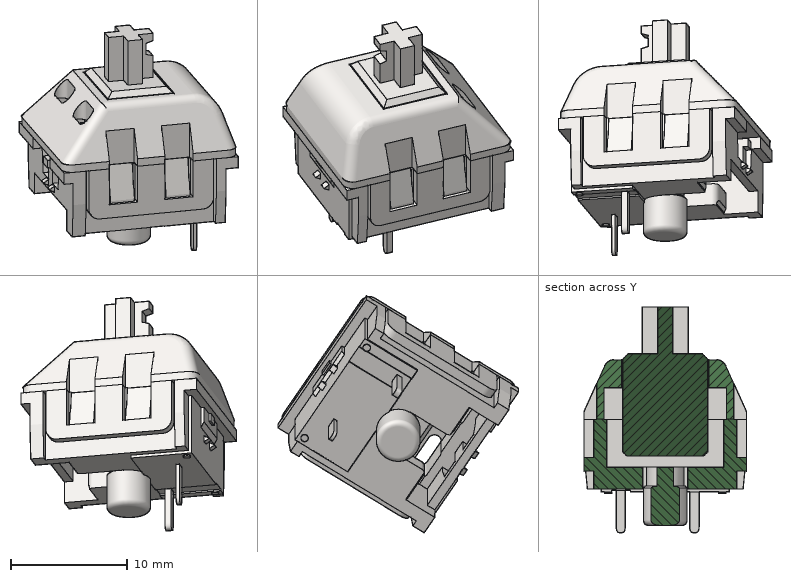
import cadquery as cq
import math


case_half_x = 7.0
case_half_y = 7.8

skirt_top = 0.68
lid_top = 5.15
roof_half_x = 4.98
roof_front_y = -3.73
roof_back_y = 6.42
roof_back_radius = 2.55
lid_edge_radius = 0.93
skirt_corner_radius = 0.97
lid_bore_half_x = 3.75
lid_bore_half_y = 3.0
lid_cavity_half_x = 5.25
lid_cavity_half_y = 5.4
lid_cavity_height = 2.72
slot_center_x = 2.88
slot_center_y = -4.9
slot_length = 3.23
slot_width = 1.17

window_center_y = 2.49
window_width = 2.53
window_back_x = 5.91
window_top = 3.11
window_bottom = -3.27

wedge_width = 2.14
wedge_top_x = 5.97
wedge_foot_x = 6.7
wedge_foot_top = -3.1

flange_height = 1.01
base_bottom = -6.0
base_front_y = -7.0
base_back_y = 6.71
taper_top = -3.01
taper_bottom_half_x = 6.71
side_recess_half_y = 5.84
side_recess_x = 6.17
panel_half_y = 5.58
panel_bottom = -4.47
panel_corner_radius = 0.97
floor_top = -4.1
cavity_half_x = 5.02
cavity_front_y = -6.22
cavity_back_y = 5.84
floor_front_y = -4.18
floor_edge_setback = 0.15
floor_edge_top = -5.48
floor_edge_bottom = -5.85

post_radius = 1.89
post_neck_radius = 1.6
post_shoulder = -5.74
post_shoulder_chamfer = 0.15
post_bottom = -9.15
post_edge_radius = 0.47
bay_half_x = 1.93
bay_back_y = 0.0
bay_edge_radius = 0.53

opening_top_half_x = 2.63
opening_bottom_half_x = 2.3
opening_bottom = -3.15
tab_half_x = 0.6
tab_top = -1.01
hook_bottom = -1.71
hook_reach = 0.45
barb_outer_x = 1.23
barb_top = -3.2
barb_bottom = -3.77
barb_reach = 0.47

pad_half_x = 5.52
pad_back_y = 7.0
pad_front_y = 1.6
pad_bottom = -6.25
pad_notch_center_x = -3.81
pad_notch_width = 1.61
pad_notch_depth = 0.14
foot_x = 4.92
foot_y = 6.42
foot_diameter = 0.65
foot_height = 0.12
back_rib_thickness = 0.27
back_rib_straight_bottom = -2.33
back_rib_bottom = -2.82

stem_top = 9.69
cross_half_length = 1.98
cross_half_width = 0.66
collar_top = 5.66
collar_half_x = 3.68
collar_half_y = 2.92
collar_chamfer = 0.49
stem_bottom = -3.15
stem_bottom_chamfer = 0.37
notch_floor_y = 1.36
notch_outer_top = 9.0
notch_inner_top = 8.81
notch_inner_bottom = 7.82
notch_outer_bottom = 7.65

pin_sizes = [
    (-3.83, 2.6, 0.8, 0.55),
    (2.5, 5.1, 0.84, 0.31),
]
pin_root = -4.86
pin_bottom = -9.76
pin_tip_length = 0.56

overrun = 0.2

tolerance = 0.02


def block(x0, x1, y0, y1, z0, z1):
    """Box between two opposite corners."""
    return cq.Workplane("XY").box(x1 - x0, y1 - y0, z1 - z0, centered=False).translate((x0, y0, z0))


def along_x(points, half_length):
    """Closed (y, z) outline extruded equally to both sides of X = 0."""
    return cq.Workplane("YZ").polyline(points).close().extrude(half_length, both=True)


def prism_x(points, x0, x1):
    """Closed (y, z) outline extruded from x0 to x1."""
    return cq.Workplane("YZ", origin=(x0, 0, 0)).polyline(points).close().extrude(x1 - x0)


def prism_y(points, y0, y1):
    """Closed (x, z) outline extruded from y0 to y1."""
    return cq.Workplane("XZ", origin=(0, y0, 0)).polyline(points).close().extrude(y0 - y1)


def lid_shell():
    """Sloped hood with a broad round at the top of its back and smaller rounds along its sides."""
    run = roof_back_y - case_half_y
    rise = lid_top - skirt_top
    slope_length = math.hypot(run, rise)
    turn = math.pi / 2 - math.atan2(-run, rise)
    tangent = roof_back_radius * math.tan(turn / 2)
    bend_low = (
        roof_back_y - tangent * run / slope_length,
        lid_top - tangent * rise / slope_length,
    )
    bend_high = (roof_back_y - tangent, lid_top)
    center_z = lid_top - roof_back_radius
    bend_mid = (
        bend_high[0] + roof_back_radius * math.sin(turn / 2),
        center_z + roof_back_radius * math.cos(turn / 2),
    )
    side_profile = (
        cq.Workplane("YZ")
        .moveTo(-case_half_y, skirt_top)
        .lineTo(case_half_y, skirt_top)
        .lineTo(*bend_low)
        .threePointArc(bend_mid, bend_high)
        .lineTo(roof_front_y, lid_top)
        .close()
        .extrude(case_half_x, both=True)
    )
    front_outline = [
        (-case_half_x, skirt_top),
        (case_half_x, skirt_top),
        (roof_half_x, lid_top),
        (-roof_half_x, lid_top),
    ]
    hood = side_profile.intersect(prism_y(front_outline, -case_half_y, case_half_y))
    rounded_edges = [edge for edge in hood.edges().vals() if is_rounded(edge)]
    hood = hood.newObject(rounded_edges).fillet(lid_edge_radius)
    skirt = block(-case_half_x, case_half_x, -case_half_y, case_half_y, 0, skirt_top)
    skirt = skirt.edges("|Z").fillet(skirt_corner_radius)
    return hood.union(skirt)


def is_rounded(edge):
    """True for the edges up the four corners of the lid and along both sides of its roof."""
    center = edge.Center()
    on_side = abs(center.x) > roof_half_x - tolerance
    skirt_line = abs(center.z - skirt_top) < tolerance
    return on_side and not skirt_line


def lid_slots():
    """Two round-ended slots straight down through the front slope."""
    return (
        cq.Workplane("XY")
        .pushPoints([(-slot_center_x, slot_center_y), (slot_center_x, slot_center_y)])
        .slot2D(slot_length, slot_width)
        .extrude(lid_top)
    )


def side_windows(back_x, width, bottom, top):
    """Four pockets reaching in from the side faces to back_x, between two heights."""
    windows = cq.Workplane("XY")
    outer_x = case_half_x + overrun
    for side_x in (-1, 1):
        for side_y in (-1, 1):
            windows = windows.add(
                cq.Workplane("XY", origin=(side_x * (back_x + outer_x) / 2, side_y * window_center_y, bottom))
                .rect(outer_x - back_x, width)
                .extrude(top - bottom)
            )
    return windows.combine()


def build_lid():
    cavity = block(
        -lid_cavity_half_x, lid_cavity_half_x, -lid_cavity_half_y, lid_cavity_half_y, 0, lid_cavity_height
    )
    bore = block(-lid_bore_half_x, lid_bore_half_x, -lid_bore_half_y, lid_bore_half_y, 0, lid_top)
    windows = side_windows(window_back_x, window_width, 0, window_top)
    return lid_shell().cut(cavity).cut(bore).cut(lid_slots()).cut(windows)


def base_body():
    """Walls whose lower sides taper inward, under a wider flange that meets the lid."""
    outline = [
        (-case_half_x, 0),
        (case_half_x, 0),
        (case_half_x, taper_top),
        (taper_bottom_half_x, base_bottom),
        (-taper_bottom_half_x, base_bottom),
        (-case_half_x, taper_top),
    ]
    walls = prism_y(outline, base_front_y, base_back_y)
    flange = block(-case_half_x, case_half_x, -case_half_y, case_half_y, -flange_height, 0)
    return walls.union(flange)


def side_recesses():
    """Full-height recesses in the middle of both sides, leaving legs at the corners."""
    outer = case_half_x + overrun
    right = block(side_recess_x, outer, -side_recess_half_y, side_recess_half_y, base_bottom, 0)
    return right.union(right.mirror("YZ"))


def side_panels():
    """Raised panels inside the side recesses, rounded at their lower corners."""
    right = block(side_recess_x, case_half_x, -panel_half_y, panel_half_y, panel_bottom, 0)
    right = right.edges("|X and <Z").fillet(panel_corner_radius)
    return right.union(right.mirror("YZ"))


def clip_wedges():
    """Sloped catches standing in the four side windows."""
    outline = [
        (wedge_top_x, 0),
        (wedge_foot_x, wedge_foot_top),
        (wedge_foot_x, window_bottom),
        (wedge_top_x, window_bottom),
    ]
    wedges = cq.Workplane("XY")
    for side_y in (-1, 1):
        start_y = side_y * window_center_y - wedge_width / 2
        right = prism_y(outline, start_y, start_y + wedge_width)
        wedges = wedges.add(right).add(right.mirror("YZ"))
    return wedges.combine()


def rear_pads():
    """Thin pads behind and under the base, with two feet and a notch for the front pin."""
    rear = block(-pad_half_x, pad_half_x, base_back_y, pad_back_y, pad_bottom, -flange_height)
    under = block(-pad_half_x, pad_half_x, pad_front_y, pad_back_y, pad_bottom, base_bottom)
    notch_start = pad_notch_center_x - pad_notch_width / 2
    notch = block(
        notch_start,
        notch_start + pad_notch_width,
        pad_front_y,
        pad_back_y,
        pad_bottom,
        pad_bottom + pad_notch_depth,
    )
    feet = (
        cq.Workplane("XY", origin=(0, 0, pad_bottom))
        .pushPoints([(-foot_x, foot_y), (foot_x, foot_y)])
        .circle(foot_diameter / 2)
        .extrude(-foot_height)
    )
    return rear.union(under).cut(notch).union(feet)


def floor_bay():
    """Bay in the front of the floor around the post, with its front corners rounded over."""
    mouth_half_x = bay_half_x + bay_edge_radius
    arc_offset = bay_edge_radius * (1 - math.sqrt(0.5))
    return (
        cq.Workplane("XY", origin=(0, 0, base_bottom))
        .moveTo(-mouth_half_x, floor_front_y)
        .threePointArc(
            (-bay_half_x - arc_offset, floor_front_y + arc_offset),
            (-bay_half_x, floor_front_y + bay_edge_radius),
        )
        .lineTo(-bay_half_x, bay_back_y)
        .lineTo(bay_half_x, bay_back_y)
        .lineTo(bay_half_x, floor_front_y + bay_edge_radius)
        .threePointArc(
            (bay_half_x + arc_offset, floor_front_y + arc_offset),
            (mouth_half_x, floor_front_y),
        )
        .close()
        .extrude(floor_top - base_bottom)
    )


def base_cavity():
    """Room inside the walls: open to the bottom ahead of the floor, and under the front wall."""
    above_floor = block(-cavity_half_x, cavity_half_x, cavity_front_y, cavity_back_y, floor_top, 0)
    front_shaft = block(-cavity_half_x, cavity_half_x, cavity_front_y, floor_front_y, base_bottom, 0)
    under_wall = block(-cavity_half_x, cavity_half_x, base_front_y, cavity_front_y, base_bottom, floor_top)
    edge_bevel = along_x(
        [
            (floor_front_y, floor_edge_top),
            (floor_front_y + floor_edge_setback, floor_edge_bottom),
            (floor_front_y + floor_edge_setback, base_bottom),
            (floor_front_y, base_bottom),
        ],
        cavity_half_x,
    )
    return above_floor.union(front_shaft).union(under_wall).union(edge_bevel).union(floor_bay())


def post():
    """Round locating post under the floor, with a thinner neck inside the bay."""
    neck = (
        cq.Workplane("XY", origin=(0, 0, post_shoulder))
        .circle(post_neck_radius)
        .extrude(floor_top - post_shoulder)
    )
    peg = (
        cq.Workplane("XY", origin=(0, 0, post_bottom))
        .circle(post_radius)
        .extrude(post_shoulder - post_bottom)
        .faces("<Z")
        .edges()
        .fillet(post_edge_radius)
        .faces(">Z")
        .edges()
        .chamfer(post_shoulder_chamfer)
    )
    return neck.union(peg)


def front_opening():
    """Tapered opening through the flange and the front wall."""
    outline = [
        (-opening_top_half_x, 0),
        (opening_top_half_x, 0),
        (opening_top_half_x, -flange_height),
        (opening_bottom_half_x, opening_bottom),
        (-opening_bottom_half_x, opening_bottom),
        (-opening_top_half_x, -flange_height),
    ]
    return prism_y(outline, -case_half_y, cavity_front_y)


def hook(side):
    """Square hook standing out of the front (-1) or back (1) wall."""
    wall_y = abs(base_front_y)
    front = block(-tab_half_x, tab_half_x, -wall_y - hook_reach, -wall_y, hook_bottom, tab_top)
    return front if side < 0 else front.mirror("XZ")


def barbs(side):
    """Pair of ridged barbs beside the tab on the front (-1) or back (1) wall."""
    wall_y = side * abs(base_front_y)
    ridge = [
        (wall_y, barb_top),
        (wall_y + side * barb_reach, (barb_top + barb_bottom) / 2),
        (wall_y, barb_bottom),
    ]
    return prism_x(ridge, tab_half_x, barb_outer_x).union(prism_x(ridge, -barb_outer_x, -tab_half_x))


def back_rib():
    """Rib below the back hook that runs out into the wall at its lower end."""
    outer_y = pad_back_y + back_rib_thickness
    outline = [
        (pad_back_y, -flange_height),
        (outer_y, -flange_height),
        (outer_y, back_rib_straight_bottom),
        (pad_back_y, back_rib_bottom),
    ]
    return along_x(outline, opening_bottom_half_x)


def build_base():
    tab = block(-tab_half_x, tab_half_x, base_front_y, cavity_front_y, opening_bottom, tab_top)
    base = base_body().cut(side_recesses()).union(side_panels())
    base = base.cut(side_windows(side_recess_x, window_width, window_bottom, 0))
    base = base.cut(side_windows(wedge_top_x, wedge_width, window_bottom, 0)).union(clip_wedges())
    base = base.cut(base_cavity()).union(rear_pads()).union(post())
    base = base.cut(front_opening()).union(tab).union(back_rib())
    for side in (-1, 1):
        base = base.union(hook(side)).union(barbs(side))
    return base


def keycap_notch():
    """Tapered notch in the tip of the back arm of the cross."""
    tip_y = cross_half_length
    outline = [
        (tip_y, notch_outer_top),
        (notch_floor_y, notch_inner_top),
        (notch_floor_y, notch_inner_bottom),
        (tip_y, notch_outer_bottom),
    ]
    return along_x(outline, cross_half_width)


def build_stem():
    collar = (
        block(-collar_half_x, collar_half_x, -collar_half_y, collar_half_y, stem_bottom, collar_top)
        .faces(">Z")
        .edges()
        .chamfer(collar_chamfer)
        .faces("<Z")
        .edges()
        .chamfer(stem_bottom_chamfer)
    )
    arm_length = 2 * cross_half_length
    arm_width = 2 * cross_half_width
    arm_height = stem_top - collar_top
    cross_plane = cq.Workplane("XY", origin=(0, 0, collar_top))
    arm_x = cross_plane.rect(arm_length, arm_width).extrude(arm_height)
    arm_y = cross_plane.rect(arm_width, arm_length).extrude(arm_height)
    return collar.union(arm_x).union(arm_y).cut(keycap_notch())


def build_pin(center_x, center_y, width, thickness):
    """Flat upright pin with a rounded tip, rooted in the floor of the base."""
    half_width = width / 2
    tip_start = pin_bottom + pin_tip_length
    return (
        cq.Workplane("XZ", origin=(center_x, center_y + thickness / 2, 0))
        .moveTo(-half_width, pin_root)
        .lineTo(-half_width, tip_start)
        .spline(
            [(0, pin_bottom), (half_width, tip_start)],
            tangents=[(0, -1), (0, 1)],
            includeCurrent=True,
        )
        .lineTo(half_width, pin_root)
        .close()
        .extrude(thickness)
    )


lid = build_lid()
base = build_base()
stem = build_stem()
pins = [build_pin(*sizes) for sizes in pin_sizes]
for pin in pins:
    base = base.cut(pin)

result = cq.Compound.makeCompound([lid.val(), base.val(), stem.val(), *[pin.val() for pin in pins]])